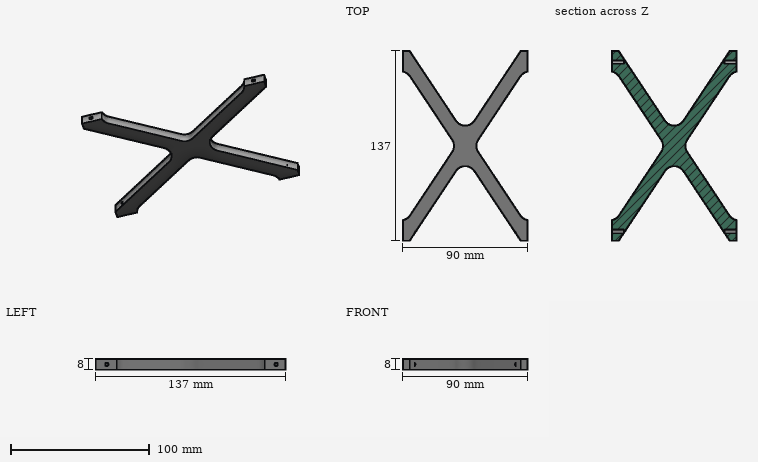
import cadquery as cq
import math

width = 90.0
length = 136.97
thickness = 8.0

arm_width = 10.0
arm_angle = 56.41
arm_offset = 0.45

foot_length = 14.9

corner_radius = 8.0

hole_diameter = 2.5
hole_depth = 8.5
drill_point_angle = 118.0
front_hole_y = -61.65
back_hole_y = 60.5

half_width = width / 2
half_length = length / 2
foot_inner_y = half_length - foot_length

arm_edge_x = (arm_width / 2 + arm_offset) / math.sin(math.radians(arm_angle))
arm_edge_y = (arm_width / 2 - arm_offset) / math.cos(math.radians(arm_angle))
run_per_rise = 1 / math.tan(math.radians(arm_angle))


def outer_edge_x(y):
    """Distance from the Y axis to the arm edge that faces the side, at height y."""
    return arm_edge_x + y * run_per_rise


def inner_edge_x(y):
    """Distance from the Y axis to the arm edge that faces the end, at height y."""
    return (y - arm_edge_y) * run_per_rise


foot_corner_x = outer_edge_x(foot_inner_y)


def make_outline():
    """Sharp-cornered outline of the frame, with the feet reaching past the sides."""
    foot_reach = half_width + corner_radius
    back_right = [
        (arm_edge_x, 0),
        (foot_corner_x, foot_inner_y),
        (foot_reach, foot_inner_y),
        (foot_reach, half_length),
        (inner_edge_x(half_length), half_length),
        (0, arm_edge_y),
    ]
    back_left = [(-x, y) for x, y in reversed(back_right[:-1])]
    front_left = [(-x, -y) for x, y in back_right[1:]]
    front_right = [(x, -y) for x, y in reversed(back_right[1:-1])]
    return back_right + back_left + front_left + front_right


def make_frame():
    """Crossed arms with rounded inside corners, trimmed to the overall size."""
    frame = cq.Workplane("XY").polyline(make_outline()).close().extrude(thickness / 2, both=True)
    inside_corners = [(0, arm_edge_y), (0, -arm_edge_y), (arm_edge_x, 0), (-arm_edge_x, 0)]
    for side in (-1, 1):
        inside_corners += [(side * foot_corner_x, foot_inner_y), (side * foot_corner_x, -foot_inner_y)]
    for x, y in inside_corners:
        corner_edge = frame.edges("|Z").edges(cq.selectors.NearestToPointSelector((x, y, 0)))
        frame = corner_edge.fillet(corner_radius)
    return frame.intersect(cq.Workplane("XY").box(width, length, thickness))


def make_drill(side, y):
    """Pointed drill entering from the left (side = -1) or right (side = 1) at the given y."""
    radius = hole_diameter / 2
    point_length = radius / math.tan(math.radians(drill_point_angle / 2))
    face_x = side * half_width
    shoulder_x = side * (half_width - hole_depth)
    tip_x = side * (half_width - hole_depth - point_length)
    profile = [(face_x, y), (face_x, y + radius), (shoulder_x, y + radius), (tip_x, y)]
    return cq.Workplane("XY").polyline(profile).close().revolve(360, (0, y, 0), (1, y, 0))


result = make_frame()
for side in (-1, 1):
    for hole_y in (front_hole_y, back_hole_y):
        result = result.cut(make_drill(side, hole_y))